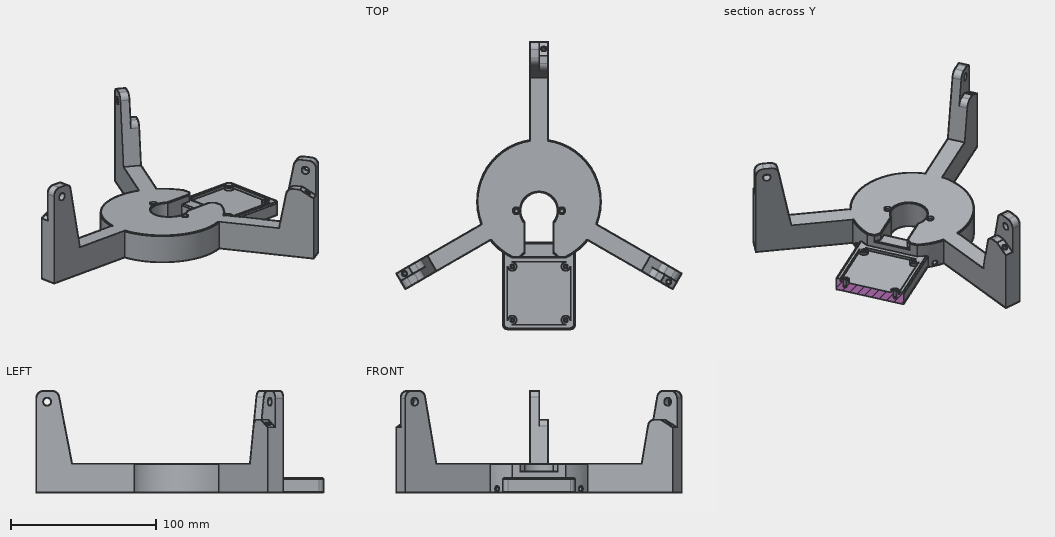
import cadquery as cq
import math

hub_radius = 42.8
hub_height = 20.0
hub_flat_y = -38.6
edge_chamfer = 0.5

keyhole_radius = 12.7
keyhole_y = -6.3
slot_width = 19.5
step_height = 14.8
step_inner_y = -28.1
step_chamfer = 1.0
mouth_flare = 3.4

cover_screw_x = 15.6
cover_screw_diameter = 3.0
cover_sink_diameter = 5.0
cover_screw_depth = 9.9

rim_hole_diameter = 3.0
rim_sink_diameter = 4.0
rim_hole_z = 2.5
rim_hole_angle = 42.5
rim_hole_depth = 9.9

arm_count = 3
arm_start = 35.6
arm_reach = 109.9
arm_width = 12.5
arm_first_angle = 90.0
tall_cheek_width = 6.5
tall_height = 70.0
low_height = 50.3
upright_base = 24.8
upright_top = 15.0
cheek_fillet = 5.1
pivot_diameter = 5.3
pivot_inset = 7.5
ramp_length = 9.7
ramp_drop = 5.3
ramp_screw_diameter = 3.0
ramp_sink_diameter = 4.0
ramp_screw_depth = 8.0

tray_size = 49.9
tray_front_y = -88.1
tray_height = 10.0
tray_corner_radius = 3.5
tray_top_chamfer = 1.0
tray_bottom_chamfer = 0.5
pocket_length_x = 43.5
pocket_length_y = 43.2
pocket_depth = 2.0
tray_screw_pitch = 36.8
tray_boss_diameter = 6.0
tray_screw_diameter = 2.0
tray_sink_diameter = 3.0
tray_screw_depth = 6.0
tray_back_y = -33.7
tray_y = tray_front_y + tray_size / 2

DOWN = cq.Vector(0, 0, -1)


def screw_hole(diameter, sink_diameter, depth, mouth, direction):
    """Cutter for a blind hole from mouth along direction, with a 45 degree sink and a conical tip."""
    radius = diameter / 2
    sink_radius = sink_diameter / 2
    plane = cq.Plane(origin=mouth, normal=direction)
    cutter = (
        cq.Workplane("XZ")
        .moveTo(0, 0)
        .lineTo(sink_radius, 0)
        .lineTo(radius, sink_radius - radius)
        .lineTo(radius, depth)
        .lineTo(0, depth + radius)
        .close()
        .revolve(360, (0, 0), (0, 1))
    )
    return cq.Workplane(cutter.val().moved(cq.Location(plane)))


def slab(width, front_y, back_y, bottom):
    """Block centred on X between two Y positions, from bottom up to the hub's top."""
    block = cq.Workplane("XY", origin=(0, front_y, bottom))
    return block.box(width, back_y - front_y, hub_height - bottom, centered=(True, False, False))


def make_hub():
    """Disc with a flat, a keyhole and a flared mouth above the step."""
    disc = cq.Workplane("XY").circle(hub_radius).extrude(hub_height)
    kept = slab(2 * hub_radius, hub_flat_y, hub_radius, 0)
    hub = disc.intersect(kept)

    keyhole = cq.Workplane("XY").center(0, keyhole_y).circle(keyhole_radius).extrude(hub_height)
    slot = slab(slot_width, step_inner_y, keyhole_y, 0)
    mouth = slab(slot_width, hub_flat_y, keyhole_y, step_height)
    half = slot_width / 2
    flare = (
        cq.Workplane("XY", origin=(0, 0, step_height))
        .moveTo(-half - mouth_flare, hub_flat_y)
        .lineTo(-half, hub_flat_y + mouth_flare)
        .lineTo(half, hub_flat_y + mouth_flare)
        .lineTo(half + mouth_flare, hub_flat_y)
        .close()
        .extrude(hub_height - step_height)
    )
    hub = hub.cut(keyhole.union(slot).union(mouth).union(flare))

    hub = hub.faces(">Z").edges().chamfer(edge_chamfer)
    step = cq.selectors.NearestToPointSelector((0, step_inner_y, step_height))
    hub = hub.edges(step).chamfer(step_chamfer)
    lip = cq.selectors.NearestToPointSelector((0, hub_flat_y, step_height))
    return hub.edges(lip).chamfer(edge_chamfer)


def make_arm():
    """One arm along +X, with its tall cheek on the +Y side."""
    slope = (upright_base - upright_top) / (tall_height - hub_height)

    def profile(height):
        """Side outline of the arm with its upright cut off at the given height."""
        top_length = upright_top + slope * (tall_height - height)
        return (
            cq.Workplane("XZ")
            .moveTo(arm_start, 0)
            .lineTo(arm_reach, 0)
            .lineTo(arm_reach, height)
            .lineTo(arm_reach - top_length, height)
            .lineTo(arm_reach - upright_base, hub_height)
            .lineTo(arm_start, hub_height)
            .close()
        )

    half = arm_width / 2
    low_cheek_width = arm_width - tall_cheek_width
    tall = profile(tall_height).extrude(tall_cheek_width).translate((0, half, 0))
    tall = tall.faces(">Z").edges("|Y").fillet(cheek_fillet)
    pivot = cq.Workplane("XZ", origin=(arm_reach - pivot_inset, half, tall_height - pivot_inset))
    tall = tall.cut(pivot.circle(pivot_diameter / 2).extrude(tall_cheek_width))

    low = profile(low_height).extrude(low_cheek_width).translate((0, low_cheek_width - half, 0))
    low = low.faces(">Z").edges("<X").fillet(cheek_fillet)
    ramp = (
        cq.Workplane("XZ", origin=(arm_reach, low_cheek_width - half, low_height))
        .moveTo(-ramp_length, 0)
        .lineTo(0, 0)
        .lineTo(0, -ramp_drop)
        .close()
        .extrude(low_cheek_width)
    )
    low_cheek_middle = low_cheek_width / 2 - half
    ramp_middle = cq.Vector(arm_reach - ramp_length / 2, low_cheek_middle, low_height - ramp_drop / 2)
    inward = cq.Vector(-ramp_drop, 0, -ramp_length)
    screw = screw_hole(ramp_screw_diameter, ramp_sink_diameter, ramp_screw_depth, ramp_middle, inward)
    return tall.union(low.cut(ramp).cut(screw))


def make_tray():
    """Square tray with a shallow pocket and four screw bosses."""
    length = tray_back_y - tray_front_y
    tray = cq.Workplane("XY").box(tray_size, length, tray_height, centered=(True, False, False))
    tray = tray.translate((0, tray_front_y, 0))
    tray = tray.edges("|Z and <Y").fillet(tray_corner_radius)
    tray = tray.faces(">Z").edges("not >Y").chamfer(tray_top_chamfer)
    tray = tray.faces("<Z").edges("not >Y").chamfer(tray_bottom_chamfer)

    floor = cq.Workplane("XY", origin=(0, tray_y, tray_height - pocket_depth))
    pocket = floor.rect(pocket_length_x, pocket_length_y).extrude(pocket_depth)
    screw_offset = tray_screw_pitch / 2
    corner_length_x = pocket_length_x / 2 - screw_offset
    corner_length_y = pocket_length_y / 2 - screw_offset
    for side_x in (-1, 1):
        for side_y in (-1, 1):
            boss = floor.center(side_x * screw_offset, side_y * screw_offset)
            pocket = pocket.cut(boss.circle(tray_boss_diameter / 2).extrude(pocket_depth))
            corner = boss.center(side_x * corner_length_x / 2, side_y * corner_length_y / 2)
            pocket = pocket.cut(corner.rect(corner_length_x, corner_length_y).extrude(pocket_depth))
    tray = tray.cut(pocket)

    for side_x in (-1, 1):
        for side_y in (-1, 1):
            mouth = cq.Vector(side_x * screw_offset, tray_y + side_y * screw_offset, tray_height)
            tray = tray.cut(
                screw_hole(tray_screw_diameter, tray_sink_diameter, tray_screw_depth, mouth, DOWN)
            )
    return tray


def cut_cover_screws(body):
    """Countersunk screw holes on both sides of the keyhole."""
    for side in (-1, 1):
        mouth = cq.Vector(side * cover_screw_x, keyhole_y, hub_height)
        hole = screw_hole(cover_screw_diameter, cover_sink_diameter, cover_screw_depth, mouth, DOWN)
        body = body.cut(hole)
    return body


def cut_rim_holes(body):
    """Radial set screw holes on both sides of the tray."""
    for side in (-1, 1):
        angle = math.radians(-90 + side * rim_hole_angle)
        inward = cq.Vector(-math.cos(angle), -math.sin(angle), 0)
        mouth = inward * -hub_radius + cq.Vector(0, 0, rim_hole_z)
        body = body.cut(screw_hole(rim_hole_diameter, rim_sink_diameter, rim_hole_depth, mouth, inward))
    return body


result = make_hub().union(make_tray())
for i in range(arm_count):
    arm_angle = arm_first_angle + i * 360 / arm_count
    result = result.union(make_arm().rotate((0, 0, 0), (0, 0, 1), arm_angle))
result = cut_rim_holes(cut_cover_screws(result))